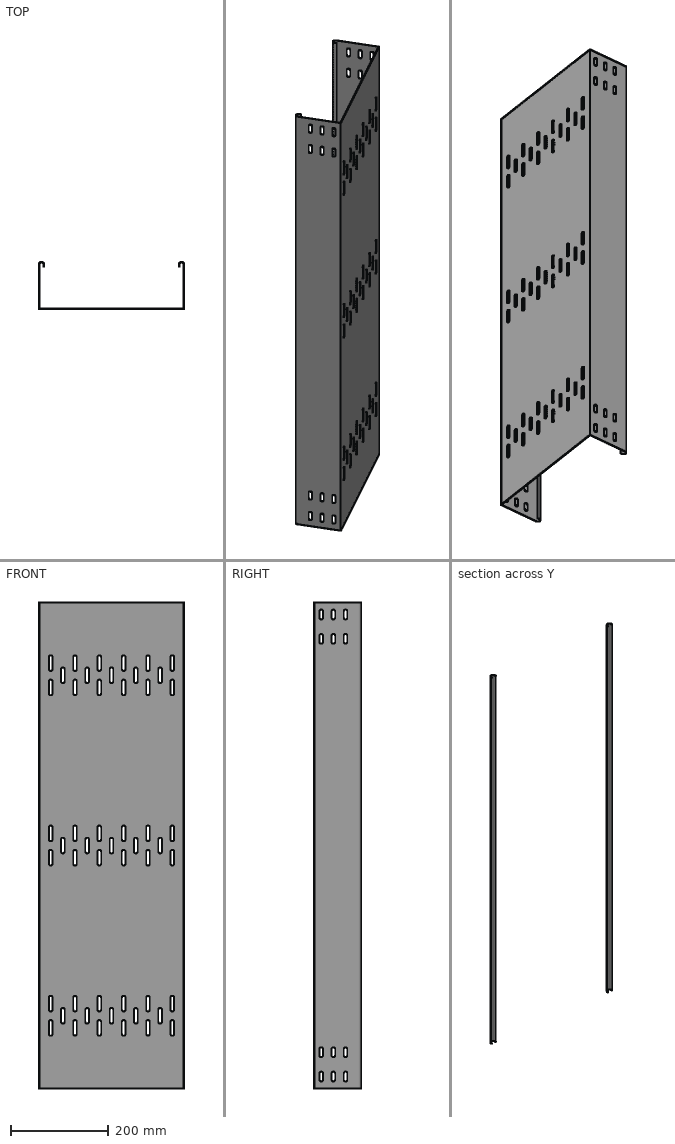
import cadquery as cq

width = 300.0
depth = 98.0
length = 1000.0
thickness = 2.0

lip_width = 12.0
lip_drop = 10.0

slot_pitch = 50.0

base_slot_length = 32.0
base_slot_width = 7.0
base_group_spacing = 350.0
base_group_count = 3
outer_row_columns = 6
middle_row_columns = 5

side_slot_length = 20.0
side_slot_width = 7.0
side_slot_columns = 3
side_slot_rows = 2
side_column_pitch = slot_pitch / 2
first_side_slot_from_base = 15.5
first_side_slot_from_end = slot_pitch / 2

base_y = -depth / 2
rim_y = depth / 2


def centred_positions(count, pitch):
    """Evenly spaced positions, symmetric about zero."""
    return [(i - (count - 1) / 2) * pitch for i in range(count)]


def slot_cutter(plane, points, slot_length, slot_width, reach):
    """Round-ended slots, long along Z, reaching equally to both sides of the plane."""
    sketch = cq.Workplane(plane).pushPoints(points)
    return sketch.slot2D(slot_length, slot_width, 90).extrude(reach, both=True)


def lipped_wall():
    """Left side wall, curled over in a half round so that its lip points back to the base."""
    outer_x = -width / 2
    lip_x = outer_x + lip_width
    middle_x = outer_x + lip_width / 2
    bend_y = rim_y - lip_width / 2
    lip_end_y = rim_y - lip_drop
    return (
        cq.Workplane("XY", origin=(0, 0, -length / 2))
        .moveTo(outer_x, base_y)
        .lineTo(outer_x, bend_y)
        .threePointArc((middle_x, rim_y), (lip_x, bend_y))
        .lineTo(lip_x, lip_end_y)
        .lineTo(lip_x - thickness, lip_end_y)
        .lineTo(lip_x - thickness, bend_y)
        .threePointArc((middle_x, rim_y - thickness), (outer_x + thickness, bend_y))
        .lineTo(outer_x + thickness, base_y)
        .close()
        .extrude(length)
    )


def channel():
    """Base plate joined to two mirrored side walls."""
    base = cq.Workplane("XY").box(width, thickness, length).translate((0, base_y + thickness / 2, 0))
    wall = lipped_wall()
    return base.union(wall).union(wall.mirror("YZ"))


def base_slots():
    """Groups of three staggered slot rows through the base plate."""
    row_offset = slot_pitch / 2
    rows = (
        (-row_offset, outer_row_columns),
        (0, middle_row_columns),
        (row_offset, outer_row_columns),
    )
    points = []
    for group_z in centred_positions(base_group_count, base_group_spacing):
        for row_z, columns in rows:
            points += [(x, group_z + row_z) for x in centred_positions(columns, slot_pitch)]
    plane = cq.Plane(origin=(0, base_y, 0), xDir=(1, 0, 0), normal=(0, -1, 0))
    return slot_cutter(plane, points, base_slot_length, base_slot_width, 2 * thickness)


def side_slots():
    """Slots at both ends, passing through both side walls."""
    points = []
    for column in range(side_slot_columns):
        y = base_y + first_side_slot_from_base + column * side_column_pitch
        for row in range(side_slot_rows):
            z = length / 2 - first_side_slot_from_end - row * slot_pitch
            points += [(y, z), (y, -z)]
    return slot_cutter("YZ", points, side_slot_length, side_slot_width, width)


result = channel().cut(base_slots()).cut(side_slots())